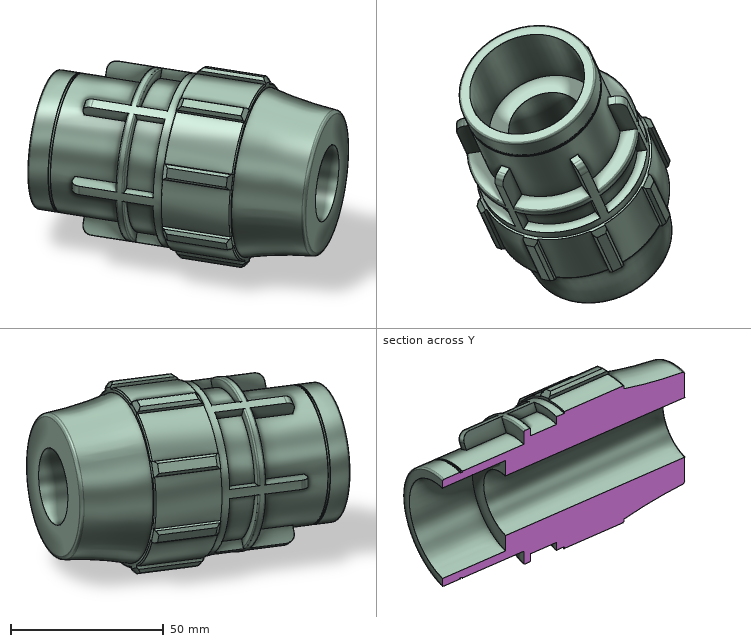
import cadquery as cq

length = 96.0

body_radius = 23.2
body_edge_round = 0.6
groove_start = 7.1
groove_width = 0.8
groove_depth = 0.4

flange_start = 32.2
flange_end = 34.9
flange_radius = 29.0
flange_edge_round = 0.6
hub_radius = 25.6
collar_start = 45.1

nut_start = 48.2
nut_end = 72.0
nut_radius = 29.8
nut_edge_chamfer = 0.5
sleeve_start_radius = 28.3
sleeve_end_radius = 24.3
sleeve_sag = 0.6
sleeve_end_round = 1.2

socket_radius = 39.0 / 2
socket_depth = 25.0
through_radius = 25.6 / 2

body_rib_count = 6
body_rib_width = 3.2
body_rib_start = 16.3
body_rib_corner = 3.3

grip_rib_count = 8
grip_rib_height = 31.9
grip_rib_top_width = 3.4
grip_rib_shoulder = 30.7
grip_rib_width = 5.2
grip_rib_end_drop = 1.8
grip_rib_front_slope = 1.8
grip_rib_back_slope = 1.3

overlap = 1.0


def cylinder(start, end, radius):
    """Solid cylinder on the X axis between two stations."""
    return cq.Workplane("YZ", origin=(start, 0, 0)).circle(radius).extrude(end - start)


def around_axis(shape, count, first_angle):
    """Union of equally spaced copies of a shape turned about the X axis."""
    ring = cq.Workplane("XY")
    for index in range(count):
        angle = first_angle + index * 360 / count
        ring = ring.add(shape.rotate((0, 0, 0), (1, 0, 0), angle))
    return ring.combine()


def turned(outline):
    """Closed XY outline revolved about the X axis."""
    return outline.close().revolve(360, (0, 0, 0), (1, 0, 0))


def make_body():
    """Spigot and a full-width band from which the flange, collar and ribs are carved."""
    spigot = cylinder(0, nut_start, body_radius).faces("<X").edges().fillet(body_edge_round)
    groove_end = groove_start + groove_width
    groove = cylinder(groove_start, groove_end, body_radius + overlap).cut(
        cylinder(groove_start, groove_end, body_radius - groove_depth)
    )
    band = cylinder(body_rib_start, nut_start, flange_radius).faces("<X").edges().fillet(body_rib_corner)
    return spigot.cut(groove).union(band).cut(make_rib_gaps())


def make_rib_gaps():
    """Material removed between the ribs, leaving the flange rim rounded on both sides."""
    outside = flange_radius + overlap
    front = turned(
        cq.Workplane("XY")
        .moveTo(body_rib_start - overlap, body_radius)
        .lineTo(flange_start, body_radius)
        .lineTo(flange_start, flange_radius - flange_edge_round)
        .radiusArc((flange_start + flange_edge_round, flange_radius), flange_edge_round)
        .lineTo(flange_start + flange_edge_round, outside)
        .lineTo(body_rib_start - overlap, outside)
    )
    back = turned(
        cq.Workplane("XY")
        .moveTo(collar_start, hub_radius)
        .lineTo(flange_end, hub_radius)
        .lineTo(flange_end, flange_radius - flange_edge_round)
        .radiusArc((flange_end - flange_edge_round, flange_radius), -flange_edge_round)
        .lineTo(flange_end - flange_edge_round, outside)
        .lineTo(collar_start, outside)
    )
    gaps = front.union(back)
    slab_height = 2 * (outside + overlap)
    slab = cq.Workplane("XY").box(length, slab_height, body_rib_width, centered=(False, True, True))
    for index in range(body_rib_count // 2):
        gaps = gaps.cut(slab.rotate((0, 0, 0), (1, 0, 0), index * 360 / body_rib_count))
    return gaps


def make_nut():
    """Straight nut barrel followed by a sleeve with a slightly hollow taper."""
    barrel = cylinder(nut_start, nut_end, nut_radius).faces(">X").edges().chamfer(nut_edge_chamfer)
    middle = ((nut_end + length) / 2, (sleeve_start_radius + sleeve_end_radius) / 2 - sleeve_sag)
    sleeve = turned(
        cq.Workplane("XY")
        .moveTo(nut_end, 0)
        .lineTo(nut_end, sleeve_start_radius)
        .threePointArc(middle, (length, sleeve_end_radius))
        .lineTo(length, 0)
    )
    sleeve = sleeve.faces(">X").edges().fillet(sleeve_end_round)
    return barrel.union(sleeve)


def make_grip_ribs():
    """Ribs with bevelled long edges and a sloped face at each end."""
    base = nut_radius - overlap
    half_width = grip_rib_width / 2
    half_top = grip_rib_top_width / 2
    rib = (
        cq.Workplane("YZ", origin=(nut_start, 0, 0))
        .moveTo(-half_width, base)
        .lineTo(half_width, base)
        .lineTo(half_width, grip_rib_shoulder)
        .lineTo(half_top, grip_rib_height)
        .lineTo(-half_top, grip_rib_height)
        .lineTo(-half_width, grip_rib_shoulder)
        .close()
        .extrude(nut_end - nut_start)
    )
    end_slopes = (
        cq.Workplane("XZ", origin=(0, half_width, 0))
        .moveTo(nut_start, base)
        .lineTo(nut_start, grip_rib_height - grip_rib_end_drop)
        .lineTo(nut_start + grip_rib_front_slope, grip_rib_height)
        .lineTo(nut_end - grip_rib_back_slope, grip_rib_height)
        .lineTo(nut_end, grip_rib_height - grip_rib_end_drop)
        .lineTo(nut_end, base)
        .close()
        .extrude(grip_rib_width)
    )
    return around_axis(rib.intersect(end_slopes), grip_rib_count, 180 / grip_rib_count)


def make_bores():
    """Through bore with a wider socket at the spigot end."""
    through = cylinder(0, length, through_radius)
    socket = cylinder(0, socket_depth, socket_radius)
    return through.union(socket)


coupling = make_body().union(make_nut()).union(make_grip_ribs())
result = coupling.cut(make_bores()).translate((-length / 2, 0, 0))